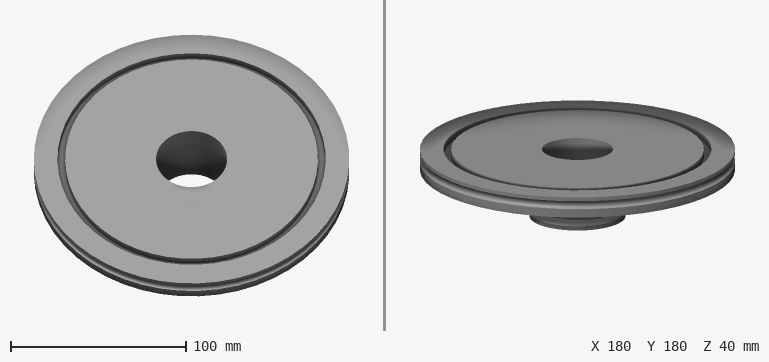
import cadquery as cq
import math

total_height = 40.0
bore_diameter = 40.5

disc_diameter = 180.0
disc_thickness = 12.0
disc_bottom = total_height - disc_thickness
clamp_groove_radius = 2.4
lower_rim_height = 5.0

face_groove_outer_diameter = 153.0
face_groove_inner_diameter = 144.2
face_groove_depth = 4.5
face_groove_floor_fillet = 0.3

tube_diameter = 45.0
flange_diameter = 55.0
flange_edge_height = 2.5
flange_chamfer_width = 0.5
flange_chamfer_height = 0.7
flange_taper_angle = 15.0
neck_fillet = 0.6


def cylinder(diameter, height, base_height):
    """Upright cylinder on the Z axis."""
    return cq.Workplane("XY").workplane(offset=base_height).circle(diameter / 2).extrude(height)


def make_flange():
    """Small flange: chamfered edge, then a cone that blends into the tube through a fillet."""
    edge_radius = flange_diameter / 2
    tube_radius = tube_diameter / 2
    taper = math.radians(flange_taper_angle)
    cone_radius = edge_radius - flange_chamfer_width
    cone_start = flange_edge_height + flange_chamfer_height
    cone_end = cone_start + (cone_radius - tube_radius) * math.tan(taper)

    setback = neck_fillet * math.tan((math.pi / 2 - taper) / 2)
    fillet_start = (tube_radius + setback * math.cos(taper), cone_end - setback * math.sin(taper))
    fillet_end = (tube_radius, cone_end + setback)

    profile = (
        cq.Workplane("XZ")
        .lineTo(edge_radius, 0)
        .lineTo(edge_radius, flange_edge_height)
        .lineTo(cone_radius, cone_start)
        .lineTo(*fillet_start)
        .radiusArc(fillet_end, neck_fillet)
        .lineTo(0, cone_end + setback)
        .close()
    )
    return profile.revolve(360, (0, 0, 0), (0, 1, 0))


def make_clamp_groove():
    """Ring cutter with a semicircular section centred on the rim of the disc."""
    rim = disc_diameter / 2
    start = disc_bottom + lower_rim_height
    middle = start + clamp_groove_radius
    end = middle + clamp_groove_radius
    profile = (
        cq.Workplane("XZ")
        .moveTo(rim, start)
        .threePointArc((rim - clamp_groove_radius, middle), (rim, end))
        .close()
    )
    return profile.revolve(360, (0, 0, 0), (0, 1, 0))


def make_face_groove():
    """Flat-bottomed ring cutter for the top face, with rounded floor corners."""
    floor = total_height - face_groove_depth
    outer = cylinder(face_groove_outer_diameter, face_groove_depth, floor)
    ring = outer.cut(cylinder(face_groove_inner_diameter, face_groove_depth, floor))
    return ring.faces("<Z").edges().fillet(face_groove_floor_fillet)


disc = cylinder(disc_diameter, disc_thickness, disc_bottom)
disc = disc.cut(make_clamp_groove()).cut(make_face_groove())
tube = cylinder(tube_diameter, disc_bottom, 0)
bore = cylinder(bore_diameter, total_height, 0)

result = disc.union(tube).union(make_flange()).cut(bore)